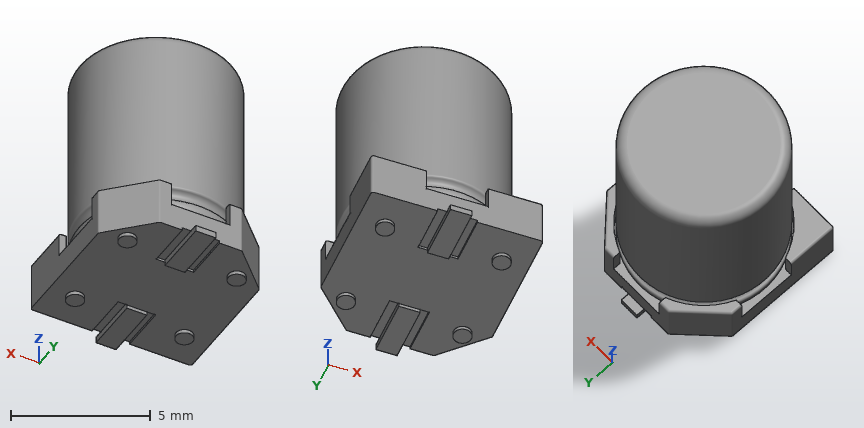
import cadquery as cq
import math

total_height = 9.29
lead_span = 7.3

base_side = 6.6
standoff = 0.15
base_height = 2.0
base_top = standoff + base_height
corner_cut = 1.62
edge_radius = 0.1
seat_height = 1.15
window_width = 2.4

can_radius = 3.15
pocket_radius = can_radius + 0.07
rim_radius = 0.4
groove_radius = 0.25
groove_height = 1.95
groove_edge_radius = 0.1

lead_width = 0.82
lead_length = 2.26
lead_thickness = 0.25
slot_width = 1.53
foot_radius = 0.34
foot_x = 2.24
foot_y = 1.91


def make_base():
    half = base_side / 2
    outline = [
        (-half, -half),
        (half, -half),
        (half, half - corner_cut),
        (half - corner_cut, half),
        (corner_cut - half, half),
        (-half, half - corner_cut),
    ]
    base = cq.Workplane("XY").workplane(offset=standoff).polyline(outline).close().extrude(base_height)
    base = base.edges("|Z").fillet(edge_radius)
    base = base.faces(">Z").edges().fillet(edge_radius)

    seat = cq.Workplane("XY").workplane(offset=seat_height)
    cut_depth = base_top - seat_height
    base = base.cut(seat.circle(pocket_radius).extrude(cut_depth))
    base = base.cut(seat.rect(window_width, base_side).extrude(cut_depth))
    return base.cut(seat.rect(base_side, window_width).extrude(cut_depth))


def make_can():
    center_distance = groove_radius + groove_edge_radius
    edge_rise = math.sqrt(center_distance**2 - groove_edge_radius**2)
    blend = groove_radius / center_distance
    tangent_radius = can_radius - groove_edge_radius * blend
    tangent_rise = edge_rise * blend
    edge_center_radius = can_radius - groove_edge_radius
    half_turn = math.atan2(edge_rise, groove_edge_radius) / 2
    edge_mid_radius = edge_center_radius + groove_edge_radius * math.cos(half_turn)
    edge_mid_rise = edge_rise - groove_edge_radius * math.sin(half_turn)

    rim_center = can_radius - rim_radius
    rim_mid = rim_center + rim_radius * math.sqrt(0.5)
    rim_mid_inset = rim_radius * (1 - math.sqrt(0.5))

    profile = (
        cq.Workplane("XZ")
        .moveTo(0, seat_height)
        .lineTo(rim_center, seat_height)
        .threePointArc((rim_mid, seat_height + rim_mid_inset), (can_radius, seat_height + rim_radius))
        .lineTo(can_radius, groove_height - edge_rise)
        .threePointArc(
            (edge_mid_radius, groove_height - edge_mid_rise),
            (tangent_radius, groove_height - tangent_rise),
        )
        .threePointArc(
            (can_radius - groove_radius, groove_height),
            (tangent_radius, groove_height + tangent_rise),
        )
        .threePointArc(
            (edge_mid_radius, groove_height + edge_mid_rise),
            (can_radius, groove_height + edge_rise),
        )
        .lineTo(can_radius, total_height - rim_radius)
        .threePointArc((rim_mid, total_height - rim_mid_inset), (rim_center, total_height))
        .lineTo(0, total_height)
        .close()
    )
    return profile.revolve(360, (0, 0, 0), (0, 1, 0))


def lead_blocks(width):
    """A pair of flat blocks where the leads run, one on each Y side."""
    lead_center_y = (lead_span - lead_length) / 2
    return (
        cq.Workplane("XY")
        .pushPoints([(0, -lead_center_y), (0, lead_center_y)])
        .rect(width, lead_length)
        .extrude(lead_thickness)
    )


def make_feet():
    return (
        cq.Workplane("XY")
        .rect(2 * foot_x, 2 * foot_y, forConstruction=True)
        .vertices()
        .circle(foot_radius)
        .extrude(standoff)
    )


base = make_base().cut(lead_blocks(slot_width))
result = base.union(make_can()).union(lead_blocks(lead_width)).union(make_feet())